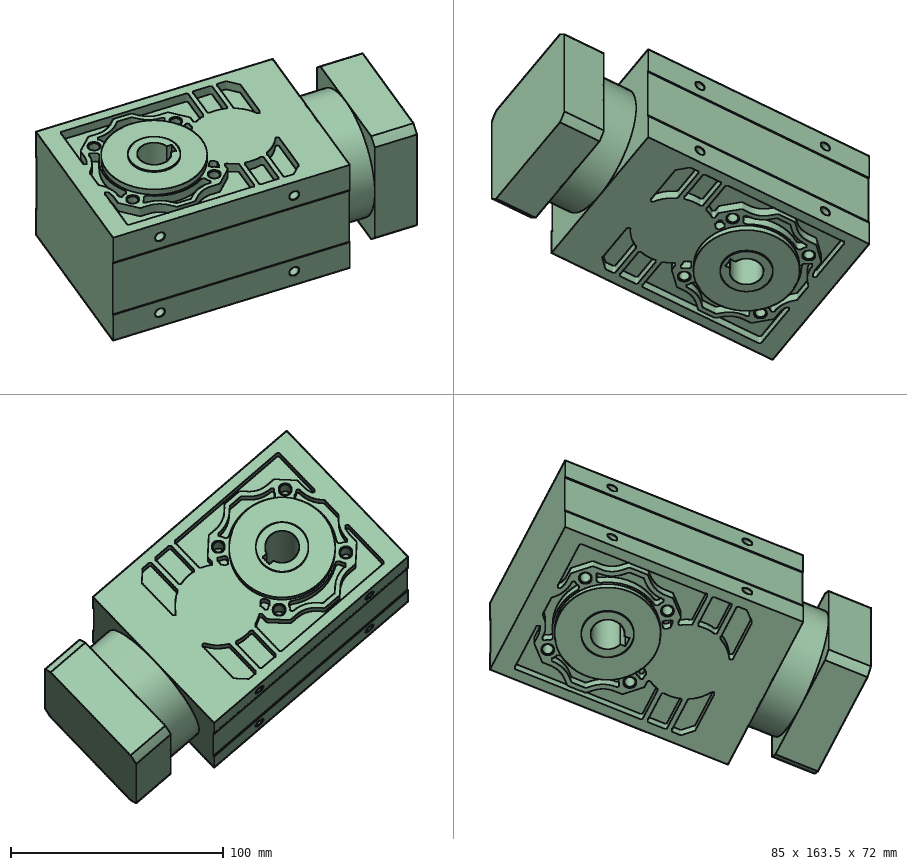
import cadquery as cq
import math


body_width = 85.0
body_height = 64.0
body_length = 123.5
bore_to_front = 41.5
body_back = body_length - bore_to_front
side_relief_depth = 0.5
side_relief_height = 32.0

overall_length = 163.5
collar_length = 18.0
collar_radius = body_height / 2
flange_length = overall_length - body_length - collar_length
flange_corner_radius = body_width / 2

overall_height = 72.0
hub_radius = 25.0
hub_height = 3.3
shaft_radius = 12.5
bore_radius = 8.0
key_width = 4.7
key_top = 10.3

drill_point_angle = 118
hole_depth = 10.0
bolt_circle_radius = 30.1
bolt_radius = 2.6
bolt_chamfer = 0.5
side_hole_radius = 2.5
side_hole_chamfer = 0.2
side_hole_height = 23.5
side_hole_front = -17.0
side_hole_spacing = 70.0

recess_depth = 5.0
recess_half_width = 37.3
main_recess_front = -31.4
recess_length = 10.1
rib_width = 2.5
recess_chamfer = 5.0
cutter_radius = 1.0
main_recess_back = 35.0
middle_recess_front = main_recess_back + rib_width
back_recess_front = middle_recess_front + recess_length + rib_width
gear_boss_radius = 20.1
gear_boss_y = 41.0

rim_width = 2.5
rim_half = 28.6
rim_corner_sum = 49.4
rim_corner_radius = 1.0
rim_tip = 35.2
rim_tip_sum = 39.9
rim_blend_radius = 12.6
hub_seat_radius = 26.0
hub_corner_radius = 1.6
hub_corner_reach = 26.2
outer_corner_start = 31.4
bolt_boss_radius = 5.2


def block(x_min, x_max, y_min, y_max, height):
    """Box standing on the XY plane between the given limits."""
    corner = cq.Workplane("XY").moveTo(x_min, y_min)
    return corner.rect(x_max - x_min, y_max - y_min, centered=False).extrude(height)


def disc(x, y, radius):
    """Disc as thick as the face recesses are deep."""
    return cq.Workplane("XY").center(x, y).circle(radius).extrude(recess_depth)


def drilled_hole(radius, chamfer):
    """Blind hole going down from the origin, with a chamfered mouth and a conical bottom."""
    point_depth = radius / math.tan(math.radians(drill_point_angle / 2))
    profile = [
        (0, 0),
        (radius + chamfer, 0),
        (radius, -chamfer),
        (radius, -hole_depth),
        (0, -hole_depth - point_depth),
    ]
    return cq.Workplane("XZ").polyline(profile).close().revolve(360, (0, 0), (0, 1))


def scalloped_outline():
    """Closed outline with four straight corners and four tips joined by concave blends."""
    corner = rim_corner_sum - rim_half
    blend_start = rim_tip_sum - rim_half + (math.sqrt(2) - 1) * rim_blend_radius
    blend_centre = rim_half + rim_blend_radius
    tip_half = rim_tip_sum - rim_tip

    def blend_point(angle):
        return (
            blend_centre - rim_blend_radius * math.cos(angle),
            blend_start - rim_blend_radius * math.sin(angle),
        )

    blend_middle = blend_point(math.pi / 8)
    blend_end = blend_point(math.pi / 4)

    def turned(point, quarter):
        x, y = point
        for _ in range(quarter):
            x, y = -y, x
        return x, y

    def mirrored(point):
        return point[0], -point[1]

    outline = cq.Workplane("XY").moveTo(rim_half, -corner)
    for quarter in range(4):
        outline = (
            outline.lineTo(*turned((rim_half, -blend_start), quarter))
            .threePointArc(turned(mirrored(blend_middle), quarter), turned(mirrored(blend_end), quarter))
            .lineTo(*turned((rim_tip, -tip_half), quarter))
            .lineTo(*turned((rim_tip, tip_half), quarter))
            .lineTo(*turned(blend_end, quarter))
            .threePointArc(turned(blend_middle, quarter), turned((rim_half, blend_start), quarter))
            .lineTo(*turned((rim_half, corner), quarter))
        )
        if quarter < 3:
            outline = outline.lineTo(*turned((corner, rim_half), quarter))
    return outline.close()


def recess_field(y_min, y_max):
    """Full-width rectangular field of the face recesses."""
    return block(-recess_half_width, recess_half_width, y_min, y_max, recess_depth)


def milled(region):
    """Round the inside corners of each separate recess to the cutter radius."""
    recesses = cq.Workplane("XY")
    for solid in region.solids().vals():
        floor = cq.Workplane("XY").newObject([solid]).faces("<Z").wires().toPending()
        recesses = recesses.add(
            floor.offset2D(-cutter_radius).offset2D(cutter_radius).extrude(recess_depth, combine=False)
        )
    return recesses


def fillet_corners(region, nearest, farthest, radius):
    """Fillet the upright edges whose distance from the bore axis lies in the given range."""

    def in_range(edge):
        return nearest < math.hypot(edge.Center().x, edge.Center().y) < farthest

    return region.edges("|Z").filter(in_range).fillet(radius)


bolt_offset = bolt_circle_radius * math.sqrt(0.5)
bolt_points = [(x, y) for x in (-bolt_offset, bolt_offset) for y in (-bolt_offset, bolt_offset)]


def face_recesses():
    """Cutters for all the recesses of one face, standing on the XY plane."""
    gear_boss = disc(0, gear_boss_y, gear_boss_radius)
    window = recess_field(main_recess_front, main_recess_back)
    middle = recess_field(middle_recess_front, middle_recess_front + recess_length)
    back = recess_field(back_recess_front, back_recess_front + recess_length)
    back = back.edges("|Z and >Y").chamfer(recess_chamfer)

    rim = scalloped_outline().offset2D(-rim_corner_radius).offset2D(rim_corner_radius).extrude(recess_depth)
    inside_rim = scalloped_outline().offset2D(-rim_width).extrude(recess_depth)
    slots = window.intersect(inside_rim).cut(disc(0, 0, hub_seat_radius)).cut(gear_boss)
    for x, y in bolt_points:
        slots = slots.cut(disc(x, y, bolt_boss_radius))
    slots = fillet_corners(slots, 0, hub_corner_reach, hub_corner_radius)
    slots = fillet_corners(slots, outer_corner_start, recess_half_width, cutter_radius)

    cutters = []
    for region in (window.cut(rim), middle, back):
        cutters += milled(region.cut(gear_boss)).vals()
    return cutters + slots.solids().vals()


def housing():
    body = block(-body_width / 2, body_width / 2, -bore_to_front, body_back, body_height)
    body = body.translate((0, 0, -body_height / 2))
    relief = cq.Workplane("XY").box(side_relief_depth, body_length, side_relief_height)
    relief_x = (body_width - side_relief_depth) / 2
    relief_y = (body_back - bore_to_front) / 2
    for side in (-1, 1):
        body = body.cut(relief.translate((side * relief_x, relief_y, 0)))
    return body


def motor_adapter():
    collar = cq.Workplane("XZ", origin=(0, body_back, 0)).circle(collar_radius).extrude(-collar_length)
    flange_plane = cq.Workplane("XZ", origin=(0, body_back + collar_length, 0))
    flange = flange_plane.rect(body_height, body_height).extrude(-flange_length)
    turned_corners = flange_plane.circle(flange_corner_radius).extrude(-flange_length)
    return collar.union(flange.intersect(turned_corners))


def output_hub():
    hub = cq.Workplane("XY").circle(hub_radius).extrude(body_height / 2 + hub_height, both=True)
    shaft = cq.Workplane("XY").circle(shaft_radius).extrude(overall_height / 2, both=True)
    return hub.union(shaft)


def keyed_bore():
    bore = cq.Workplane("XY").circle(bore_radius).extrude(overall_height, both=True)
    key = block(-key_width / 2, key_width / 2, 0, key_top, 2 * overall_height)
    return bore.union(key.translate((0, 0, -overall_height)))


def cut_face_details(body):
    """Cut the recesses and bolt holes into the top face and, mirrored, into the bottom face."""
    top = body_height / 2
    bolt_hole = drilled_hole(bolt_radius, bolt_chamfer)
    cutters = [cutter.translate(cq.Vector(0, 0, top - recess_depth)) for cutter in face_recesses()]
    cutters += [bolt_hole.translate((x, y, top)).val() for x, y in bolt_points]
    for cutter in cutters:
        body = body.cut(cq.Workplane(cutter)).cut(cq.Workplane(cutter.mirror("XY")))
    return body


def cut_side_holes(body):
    hole = drilled_hole(side_hole_radius, side_hole_chamfer)
    for side in (-1, 1):
        sideways = hole.rotate((0, 0, 0), (0, 1, 0), side * 90)
        for y in (side_hole_front, side_hole_front + side_hole_spacing):
            for z in (-side_hole_height, side_hole_height):
                body = body.cut(sideways.translate((side * body_width / 2, y, z)))
    return body


result = cut_face_details(housing())
result = cut_side_holes(result)
result = result.union(motor_adapter()).union(output_hub()).cut(keyed_bore())